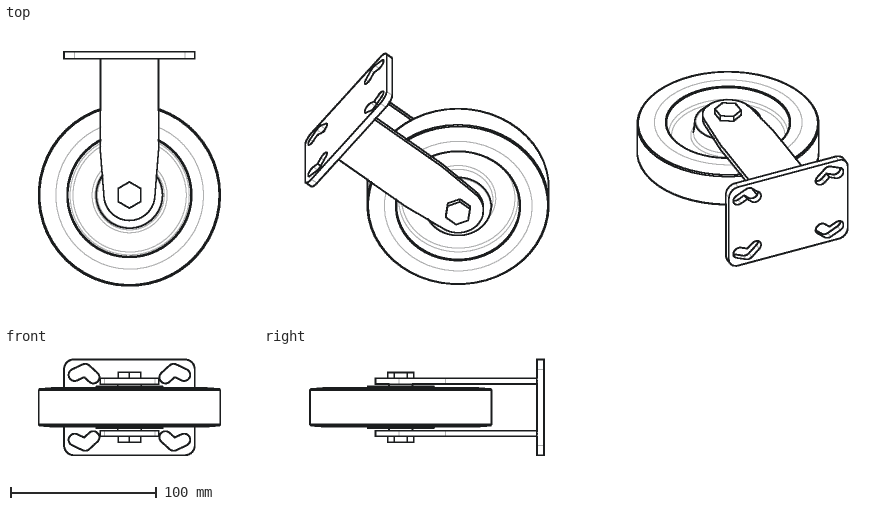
import cadquery as cq
import math


PLATE_WIDTH = 90.0
PLATE_HEIGHT = 66.0
PLATE_THICKNESS = 5.0
PLATE_CORNER_RADIUS = 7.0
PLATE_OUTER_Y = 98.5
PLATE_INNER_Y = PLATE_OUTER_Y - PLATE_THICKNESS

SLOT_RADIUS = 4.1
SLOT_OUTER_END = (37.6, 22.3)
SLOT_BEND = (30.4, 25.7)
SLOT_INNER_END = (24.8, 20.6)

ARM_INNER_Z = 16.0
ARM_THICKNESS = 4.0
ARM_OUTER_Z = ARM_INNER_Z + ARM_THICKNESS
ARM_HALF_WIDTH = 20.0
ARM_TIP_RADIUS = 17.5
ARM_TAPER_START_Y = 30.5

AXLE_DIAMETER = 16.25
HEX_ACROSS_CORNERS = 18.0
HEX_THICKNESS = 4.0

TREAD_RADIUS = 62.5
TREAD_HALF_WIDTH = 11.6
TYRE_SHOULDER_RADIUS = 61.7
TYRE_SHOULDER_Z = 12.6
RIM_RADIUS = 101.56 / 2
RIM_HALF_WIDTH = 13.5
RIM_MOUTH_RADIUS = 42.9
RIM_MOUTH_CHAMFER = 0.6
RIM_FOOT_RADIUS = 40.7
WEB_HALF_THICKNESS = 2.5
WEB_FILLET = 2.0
HUB_HALF_WIDTH = 14.5
HUB_TOP_RADIUS = 22.8
HUB_TOP_CHAMFER_WIDTH = 0.7
HUB_TOP_CHAMFER_DEPTH = 0.2
HUB_FOOT_RADIUS = 24.0

SELECTION_MARGIN = 0.1


def make_plate():
    return (
        cq.Workplane("XY")
        .box(PLATE_WIDTH, PLATE_THICKNESS, PLATE_HEIGHT)
        .edges("|Y")
        .fillet(PLATE_CORNER_RADIUS)
        .translate((0, PLATE_OUTER_Y - PLATE_THICKNESS / 2, 0))
    )


def straight_slot(start, end):
    """Cutter through the plate, rounded at both ends, between two (x, z) points."""
    length = math.hypot(end[0] - start[0], end[1] - start[1]) + 2 * SLOT_RADIUS
    angle = math.degrees(math.atan2(end[1] - start[1], end[0] - start[0]))
    middle = ((start[0] + end[0]) / 2, (start[1] + end[1]) / 2)
    return (
        cq.Workplane("XZ", origin=(0, PLATE_OUTER_Y, 0))
        .center(*middle)
        .slot2D(length, 2 * SLOT_RADIUS, angle)
        .extrude(PLATE_THICKNESS)
    )


def make_mounting_slots():
    corner = straight_slot(SLOT_OUTER_END, SLOT_BEND).union(straight_slot(SLOT_BEND, SLOT_INNER_END))
    upper_pair = corner.union(corner.mirror("YZ"))
    return upper_pair.union(upper_pair.mirror("XY"))


def make_arm():
    """Arm on the +Z side: straight, then tapering tangentially into a round tip."""
    corner_distance = math.hypot(ARM_HALF_WIDTH, ARM_TAPER_START_Y)
    corner_angle = math.atan2(ARM_TAPER_START_Y, ARM_HALF_WIDTH)
    tangent_angle = corner_angle - math.acos(ARM_TIP_RADIUS / corner_distance)
    tangent_x = ARM_TIP_RADIUS * math.cos(tangent_angle)
    tangent_y = ARM_TIP_RADIUS * math.sin(tangent_angle)
    return (
        cq.Workplane("XY", origin=(0, 0, ARM_INNER_Z))
        .moveTo(-ARM_HALF_WIDTH, PLATE_INNER_Y)
        .lineTo(-ARM_HALF_WIDTH, ARM_TAPER_START_Y)
        .lineTo(-tangent_x, tangent_y)
        .threePointArc((0, -ARM_TIP_RADIUS), (tangent_x, tangent_y))
        .lineTo(ARM_HALF_WIDTH, ARM_TAPER_START_Y)
        .lineTo(ARM_HALF_WIDTH, PLATE_INNER_Y)
        .close()
        .extrude(ARM_THICKNESS)
    )


def make_axle():
    """Shaft joining both arms through the wheel, with a hexagonal head outside each arm."""
    shaft = cq.Workplane("XY").circle(AXLE_DIAMETER / 2).extrude(ARM_OUTER_Z, both=True)
    head = (
        cq.Workplane("XY", origin=(0, 0, ARM_OUTER_Z))
        .transformed(rotate=(0, 0, 90))
        .polygon(6, HEX_ACROSS_CORNERS)
        .extrude(HEX_THICKNESS)
    )
    return shaft.union(head).union(head.mirror("XY"))


def make_wheel():
    """Upper half of the wheel revolved about Z, then mirrored."""
    half = (
        cq.Workplane("XZ")
        .moveTo(0, 0)
        .lineTo(TREAD_RADIUS, 0)
        .lineTo(TREAD_RADIUS, TREAD_HALF_WIDTH)
        .lineTo(TYRE_SHOULDER_RADIUS, TYRE_SHOULDER_Z)
        .lineTo(RIM_RADIUS, RIM_HALF_WIDTH)
        .lineTo(RIM_MOUTH_RADIUS, RIM_HALF_WIDTH)
        .lineTo(RIM_MOUTH_RADIUS - RIM_MOUTH_CHAMFER, RIM_HALF_WIDTH - RIM_MOUTH_CHAMFER)
        .lineTo(RIM_FOOT_RADIUS, WEB_HALF_THICKNESS)
        .lineTo(HUB_FOOT_RADIUS, WEB_HALF_THICKNESS)
        .lineTo(HUB_TOP_RADIUS, HUB_HALF_WIDTH - HUB_TOP_CHAMFER_DEPTH)
        .lineTo(HUB_TOP_RADIUS - HUB_TOP_CHAMFER_WIDTH, HUB_HALF_WIDTH)
        .lineTo(0, HUB_HALF_WIDTH)
        .close()
        .revolve(360, (0, 0, 0), (0, 1, 0))
    )
    half_box = RIM_FOOT_RADIUS + SELECTION_MARGIN
    web_corners = cq.selectors.BoxSelector(
        (-half_box, -half_box, WEB_HALF_THICKNESS - SELECTION_MARGIN),
        (half_box, half_box, WEB_HALF_THICKNESS + SELECTION_MARGIN),
        boundingbox=True,
    )
    half = half.edges(web_corners).fillet(WEB_FILLET)
    return half.union(half.mirror("XY"))


arm = make_arm()
fork = make_plate().cut(make_mounting_slots()).union(arm).union(arm.mirror("XY"))
result = fork.union(make_axle()).union(make_wheel())